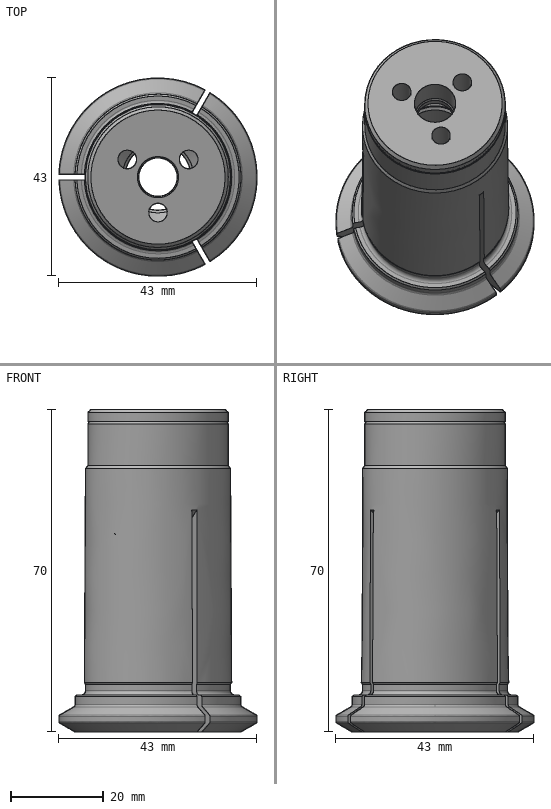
import cadquery as cq
import math

TOTAL_HEIGHT = 70.0
COLLAR_TOP = 8.05
NECK_TOP = 10.35
BODY_BOTTOM = 10.75
BODY_TOP = 57.15
CAP_BOTTOM = 57.8
CAP_GROOVE_TOP = 67.3
CAP_GROOVE_BOTTOM = 66.75

FLANGE_RADIUS = 21.5
COLLAR_RADIUS = 18.0
NECK_RADIUS = 15.75
BODY_BOTTOM_RADIUS = 16.0
BODY_TOP_RADIUS = 15.75
CAP_RADIUS = 15.25
CAP_GROOVE_DEPTH = 0.25

FLANGE_SLOPE = math.tan(math.radians(30))
FLANGE_CONE_HEIGHT = (FLANGE_RADIUS - COLLAR_RADIUS) * FLANGE_SLOPE
FLANGE_RIM_BOTTOM = FLANGE_CONE_HEIGHT
FLANGE_RIM_TOP = 3.6
COLLAR_BOTTOM = FLANGE_RIM_TOP + FLANGE_CONE_HEIGHT

RIM_ROUND = 0.4
COLLAR_ROOT_ROUND = 0.6
NECK_ROOT_ROUND = 0.9
COLLAR_CHAMFER = 0.4
TOP_CHAMFER = 0.7

BORE_RADIUS = 14.29 / 2
RELIEF_RADIUS = 15.5 / 2
CHAMBER_RADIUS = 21.0 / 2
BORE_TOP = 49.0
RELIEF_LENGTH = 0.5
DRILL_TIP_SLOPE = math.tan(math.radians(31))
CHAMBER_TOP = 60.0

SCREW_HOLE_RADIUS = 8.92 / 2
SCREW_HOLE_DEPTH = 8.0
SCREW_THROAT_RADIUS = 8.3 / 2
COOLANT_HOLE_DIAMETER = 4.0
COOLANT_HOLE_COUNT = 3
COOLANT_CIRCLE_RADIUS = 7.7
COOLANT_START_ANGLE = 30.0

SLIT_WIDTH = 1.2
SLIT_COUNT = 3
SLIT_START_ANGLE = 60.0
SLIT_TOP_AT_BODY = 48.3
SLIT_TOP_AT_BORE = 41.2
SLIT_BOTTOM_AT_BORE = 4.95
SLIT_FLOOR_SLOPE = math.tan(math.radians(35))
SLIT_FLOOR_RADIUS = BORE_RADIUS + SLIT_BOTTOM_AT_BORE / SLIT_FLOOR_SLOPE

CUT_MARGIN = 1.0


def revolve_profile(points):
    """Turn a closed (radius, height) outline about the Z axis."""
    return cq.Workplane("XZ").polyline(points).close().revolve(360, (0, 0), (0, 1))


def round_circle(solid, radius, height, round_radius):
    """Round the circular edge of the given radius at the given height."""
    tolerance = 0.01
    edges = [
        edge for edge in solid.edges("%CIRCLE").vals()
        if abs(edge.radius() - radius) < tolerance and abs(edge.Center().z - height) < tolerance
    ]
    return solid.newObject(edges).fillet(round_radius)


def make_outside():
    """Flange, collar, neck, slightly tapered body and grooved cap."""
    groove_radius = CAP_RADIUS - CAP_GROOVE_DEPTH
    outside = revolve_profile([
        (0, 0),
        (COLLAR_RADIUS, 0),
        (FLANGE_RADIUS, FLANGE_RIM_BOTTOM),
        (FLANGE_RADIUS, FLANGE_RIM_TOP),
        (COLLAR_RADIUS, COLLAR_BOTTOM),
        (COLLAR_RADIUS, COLLAR_TOP - COLLAR_CHAMFER),
        (COLLAR_RADIUS - COLLAR_CHAMFER, COLLAR_TOP),
        (NECK_RADIUS, COLLAR_TOP),
        (NECK_RADIUS, NECK_TOP),
        (BODY_BOTTOM_RADIUS, BODY_BOTTOM),
        (BODY_TOP_RADIUS, BODY_TOP),
        (CAP_RADIUS, CAP_BOTTOM),
        (CAP_RADIUS, CAP_GROOVE_BOTTOM),
        (groove_radius, CAP_GROOVE_TOP),
        (CAP_RADIUS, CAP_GROOVE_TOP),
        (CAP_RADIUS, TOTAL_HEIGHT - TOP_CHAMFER),
        (CAP_RADIUS - TOP_CHAMFER, TOTAL_HEIGHT),
        (0, TOTAL_HEIGHT),
    ])
    outside = round_circle(outside, FLANGE_RADIUS, FLANGE_RIM_BOTTOM, RIM_ROUND)
    outside = round_circle(outside, FLANGE_RADIUS, FLANGE_RIM_TOP, RIM_ROUND)
    outside = round_circle(outside, COLLAR_RADIUS, COLLAR_BOTTOM, COLLAR_ROOT_ROUND)
    return round_circle(outside, NECK_RADIUS, COLLAR_TOP, NECK_ROOT_ROUND)


def make_inside():
    """Bore, relief and chamber joined by drill-tip cones, and the screw hole with its throat."""
    relief_bottom = BORE_TOP + (RELIEF_RADIUS - BORE_RADIUS) * DRILL_TIP_SLOPE
    relief_top = relief_bottom + RELIEF_LENGTH
    chamber_bottom = relief_top + (CHAMBER_RADIUS - RELIEF_RADIUS) * DRILL_TIP_SLOPE
    screw_hole_bottom = TOTAL_HEIGHT - SCREW_HOLE_DEPTH
    throat_top = screw_hole_bottom - (SCREW_HOLE_RADIUS - SCREW_THROAT_RADIUS)
    return revolve_profile([
        (0, 0),
        (BORE_RADIUS, 0),
        (BORE_RADIUS, BORE_TOP),
        (RELIEF_RADIUS, relief_bottom),
        (RELIEF_RADIUS, relief_top),
        (CHAMBER_RADIUS, chamber_bottom),
        (CHAMBER_RADIUS, CHAMBER_TOP),
        (SCREW_THROAT_RADIUS, CHAMBER_TOP),
        (SCREW_THROAT_RADIUS, throat_top),
        (SCREW_HOLE_RADIUS, screw_hole_bottom),
        (SCREW_HOLE_RADIUS, TOTAL_HEIGHT),
        (0, TOTAL_HEIGHT),
    ])


def make_coolant_holes():
    """Holes from the top face down into the chamber."""
    return (
        cq.Workplane("XY", origin=(0, 0, CHAMBER_TOP))
        .polarArray(COOLANT_CIRCLE_RADIUS, COOLANT_START_ANGLE, 360, COOLANT_HOLE_COUNT)
        .circle(COOLANT_HOLE_DIAMETER / 2)
        .extrude(TOTAL_HEIGHT - CHAMBER_TOP)
    )


def make_slit(angle):
    """Radial slit into the bore, shallower toward its sloping upper and lower ends."""
    top_slope = (SLIT_TOP_AT_BODY - SLIT_TOP_AT_BORE) / (BODY_BOTTOM_RADIUS - BORE_RADIUS)
    inner_radius = BORE_RADIUS - CUT_MARGIN
    outer_radius = FLANGE_RADIUS + CUT_MARGIN
    slit = (
        cq.Workplane("XZ")
        .polyline([
            (inner_radius, SLIT_BOTTOM_AT_BORE + CUT_MARGIN * SLIT_FLOOR_SLOPE),
            (SLIT_FLOOR_RADIUS, 0),
            (outer_radius, 0),
            (outer_radius, SLIT_TOP_AT_BORE + top_slope * (outer_radius - BORE_RADIUS)),
            (inner_radius, SLIT_TOP_AT_BORE - CUT_MARGIN * top_slope),
        ])
        .close()
        .extrude(SLIT_WIDTH / 2, both=True)
    )
    return slit.rotate((0, 0, 0), (0, 0, 1), angle)


result = make_outside().cut(make_inside()).cut(make_coolant_holes())
for index in range(SLIT_COUNT):
    result = result.cut(make_slit(SLIT_START_ANGLE + index * 360 / SLIT_COUNT))